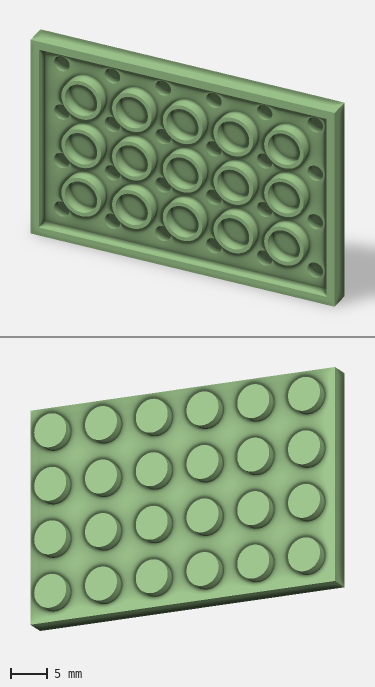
import cadquery as cq

columns = 6
rows = 4
length = 46.8
pitch = length / columns
height = rows * pitch

plate_depth = 3.2
floor_thickness = 1.25
cavity_depth = plate_depth - floor_thickness
cavity_length = 44.23
wall = (length - cavity_length) / 2
cavity_height = height - 2 * wall

stud_diameter = 4.9
stud_height = 1.8
tube_outer_diameter = 6.1
tube_inner_diameter = stud_diameter
pin_hole_diameter = 2.4
pin_hole_depth = floor_thickness


def cylinders(column_count, row_count, diameter, start_y, depth):
    """Grid of cylinders at the stud pitch, centred on the plate, running toward +Y."""
    return (
        cq.Workplane("XZ", origin=(0, start_y, 0))
        .rarray(pitch, pitch, column_count, row_count)
        .circle(diameter / 2)
        .extrude(-depth)
    )


def plate_shell():
    """Rectangular plate hollowed from its front face, which lies at Y = 0."""
    block = cq.Workplane("XZ").rect(length, height).extrude(-plate_depth)
    cavity = cq.Workplane("XZ").rect(cavity_length, cavity_height).extrude(-cavity_depth)
    return block.cut(cavity)


def studs():
    """Studs on the back face, one per grid cell."""
    return cylinders(columns, rows, stud_diameter, plate_depth, stud_height)


def tubes():
    """Hollow tubes in the cavity, one between every four studs."""
    outer = cylinders(columns - 1, rows - 1, tube_outer_diameter, 0, cavity_depth)
    inner = cylinders(columns - 1, rows - 1, tube_inner_diameter, 0, cavity_depth)
    return outer.cut(inner)


def pin_holes():
    """Blind holes through the cavity floor, each closed by the stud behind it."""
    return cylinders(columns, rows, pin_hole_diameter, cavity_depth, pin_hole_depth)


result = plate_shell().union(studs()).union(tubes()).cut(pin_holes())